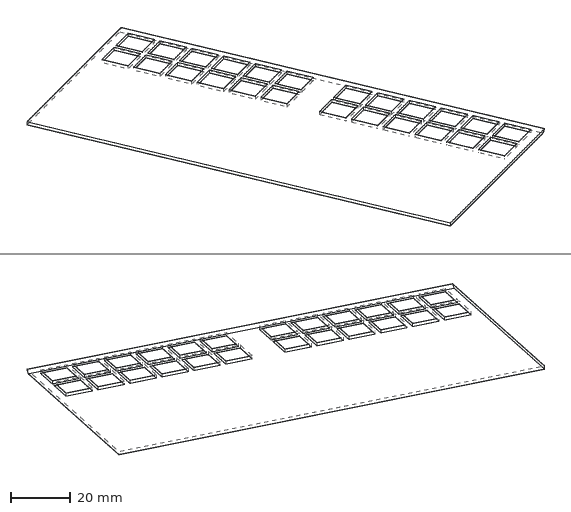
import cadquery as cq

length = 159.5
width = 72.7
thickness = 1.2
back_undercut = thickness

columns_per_group = 6
rows = 2
window_length = 9.9
window_width = 9.4
column_pitch = 12.0
row_pitch = 10.8
middle_bar = 12.3
back_margin = 2.5


def make_plate():
    """Flat plate whose back face slopes inward toward the underside."""
    front = -width / 2
    back = width / 2
    profile = [
        (front, 0),
        (back - back_undercut, 0),
        (back, thickness),
        (front, thickness),
    ]
    return cq.Workplane("YZ").polyline(profile).close().extrude(length / 2, both=True)


def window_centres():
    """Centres of all windows, mirrored in pairs about X = 0."""
    first_x = (middle_bar + window_length) / 2
    first_y = width / 2 - back_margin - window_width / 2
    return [
        (side * (first_x + column * column_pitch), first_y - row * row_pitch)
        for side in (-1, 1)
        for column in range(columns_per_group)
        for row in range(rows)
    ]


def make_windows():
    """Rectangular cutters that pass through the full plate thickness."""
    return (
        cq.Workplane("XY")
        .pushPoints(window_centres())
        .rect(window_length, window_width)
        .extrude(thickness)
    )


result = make_plate().cut(make_windows())